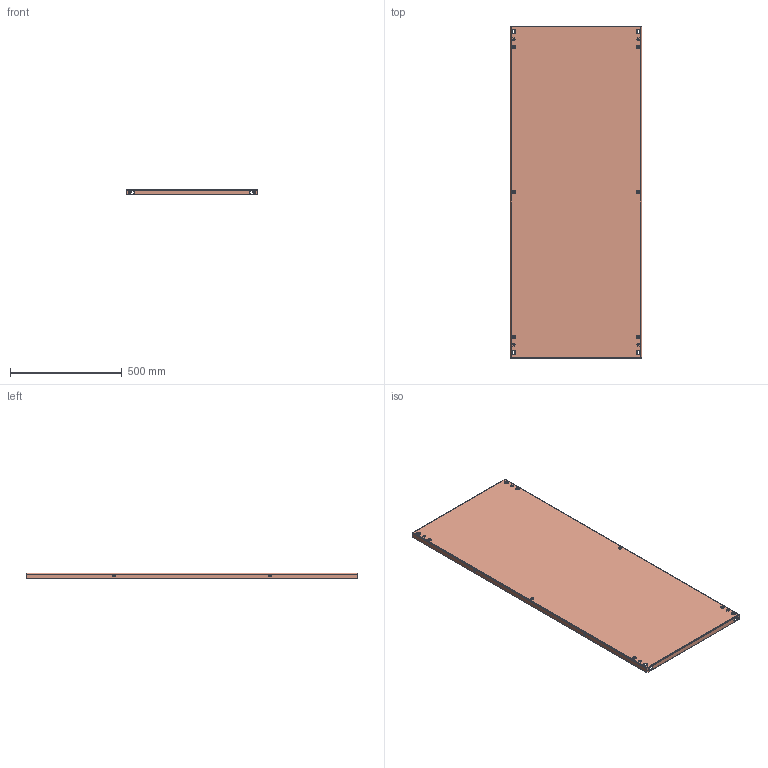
import cadquery as cq
import math

WIDTH = 588.0
LENGTH = 1488.0
OVERALL_HEIGHT = 26.6
NUT_STANDOUT = 0.6
TRAY_HEIGHT = OVERALL_HEIGHT - NUT_STANDOUT
SHEET = 2.0
BEND_RADIUS = 4.0

ROW_X = 278.5
SLOT_Y = 719.5
NUT_Y = 684.0
HOLE_Y = 649.5

HOLE_DIAMETER = 9.0
HOLE_MOUTH_DIAMETER = 16.5
SLOT_LENGTH = 18.0
SLOT_WIDTH = 9.0
SLOT_MOUTH_LENGTH = 20.0
SLOT_MOUTH_WIDTH = 16.0

SIDE_HOLE_Y = 350.0
SIDE_HOLE_Z = 15.5
SIDE_HOLE_DIAMETER = 6.0
SIDE_HOLE_MOUTH_DIAMETER = 12.0

END_HOLES = ((268.0, 18.0), (282.0, 9.0))
END_HOLE_Z = 11.0

NUT_ACROSS_FLATS = 13.5
NUT_BORE = 8.0
NUT_LENGTH = 14.0

SIDES = (-1, 1)
CORNERS = [(side, end) for side in SIDES for end in SIDES]


def rounded_block(width, length, height, radius):
    """Block standing on Z = 0 with all four top edges rounded."""
    block = cq.Workplane("XY").box(width, length, height, centered=(True, True, False))
    return block.faces(">Z").edges().fillet(radius)


def bent_sheet():
    outside = rounded_block(WIDTH, LENGTH, TRAY_HEIGHT, BEND_RADIUS)
    inside = rounded_block(
        WIDTH - 2 * SHEET,
        LENGTH - 2 * SHEET,
        TRAY_HEIGHT - SHEET,
        BEND_RADIUS - SHEET,
    )
    return outside.cut(inside)


def countersunk_hole(mouth_centre, inward, mouth_diameter, diameter):
    """Cone through the sheet, wide at its outer face."""
    cone = cq.Solid.makeCone(
        mouth_diameter / 2,
        diameter / 2,
        SHEET,
        pnt=cq.Vector(*mouth_centre),
        dir=cq.Vector(*inward),
    )
    return cq.Workplane(cone)


def countersunk_slot(x, y):
    """Slot along Y through the top sheet, tapering in from its mouth."""
    return (
        cq.Workplane("XY", origin=(x, y, TRAY_HEIGHT))
        .slot2D(SLOT_MOUTH_LENGTH, SLOT_MOUTH_WIDTH, 90)
        .workplane(offset=-SHEET)
        .slot2D(SLOT_LENGTH, SLOT_WIDTH, 90)
        .loft(ruled=True)
    )


def top_hole(x, y):
    return countersunk_hole((x, y, TRAY_HEIGHT), (0, 0, -1), HOLE_MOUTH_DIAMETER, HOLE_DIAMETER)


def side_hole(side, y):
    mouth_centre = (side * WIDTH / 2, y, SIDE_HOLE_Z)
    return countersunk_hole(mouth_centre, (-side, 0, 0), SIDE_HOLE_MOUTH_DIAMETER, SIDE_HOLE_DIAMETER)


def end_hole_drill(x, diameter):
    """Cylinder running the full length, through both end flanges."""
    return (
        cq.Workplane("XZ", origin=(x, 0, END_HOLE_Z))
        .circle(diameter / 2)
        .extrude(LENGTH / 2, both=True)
    )


def hex_blank(x, y):
    """Solid hexagonal prism filling the space of one nut, corners on the X axis."""
    across_corners = NUT_ACROSS_FLATS / math.cos(math.pi / 6)
    return (
        cq.Workplane("XY", origin=(x, y, OVERALL_HEIGHT))
        .polygon(6, across_corners)
        .extrude(-NUT_LENGTH)
    )


def hex_nut(x, y):
    bore = (
        cq.Workplane("XY", origin=(x, y, OVERALL_HEIGHT))
        .circle(NUT_BORE / 2)
        .extrude(-NUT_LENGTH)
    )
    return hex_blank(x, y).cut(bore)


def tray_panel():
    panel = bent_sheet()
    for side in SIDES:
        x = side * ROW_X
        panel = panel.cut(top_hole(x, 0))
        for offset, diameter in END_HOLES:
            panel = panel.cut(end_hole_drill(side * offset, diameter))
    for side, end in CORNERS:
        x = side * ROW_X
        panel = panel.cut(countersunk_slot(x, end * SLOT_Y))
        panel = panel.cut(hex_blank(x, end * NUT_Y))
        panel = panel.cut(top_hole(x, end * HOLE_Y))
        panel = panel.cut(side_hole(side, end * SIDE_HOLE_Y))
    return panel


panel = tray_panel()
nuts = [hex_nut(side * ROW_X, end * NUT_Y) for side, end in CORNERS]

result = cq.Compound.makeCompound([panel.val(), *[nut.val() for nut in nuts]])